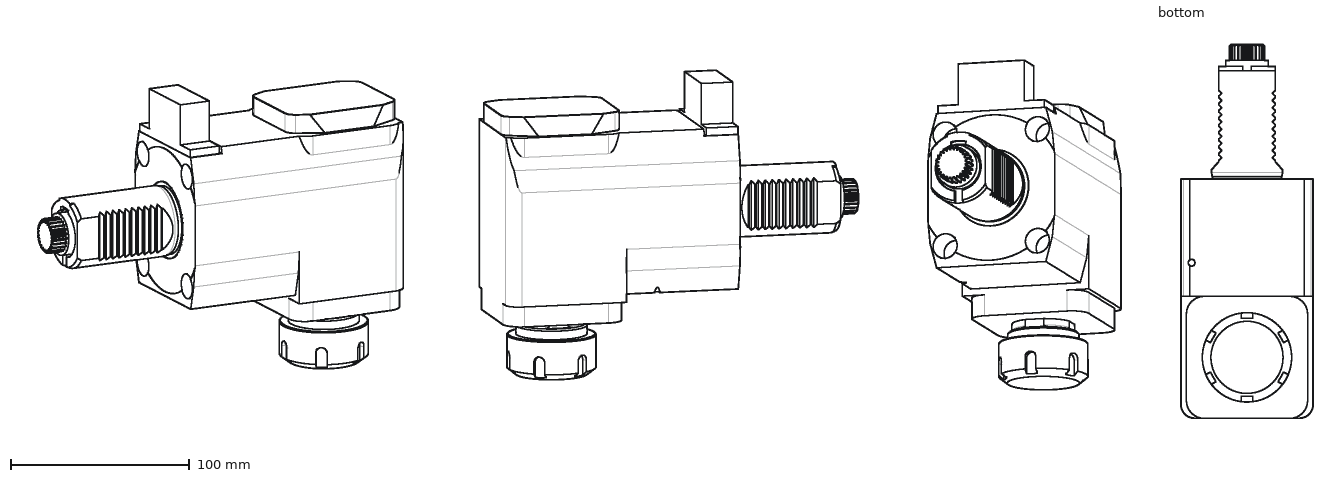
import cadquery as cq
import math


HALF_WIDTH = 37.0
BACK_Y = 133.8
TOP_Z = 47.7
FLANGE_HALF_HEIGHT = 43.9
UPRIGHT_HALF_HEIGHT = 17.3
BEND_Z = 29.9
BEND_HALF_WIDTH = 35.7
TOP_HALF_WIDTH = 31.0
LEAN = (BEND_HALF_WIDTH - TOP_HALF_WIDTH) / (TOP_Z - BEND_Z)
FLANGE_EDGE_HALF_WIDTH = BEND_HALF_WIDTH - LEAN * (FLANGE_HALF_HEIGHT - BEND_Z)

HEAD_WIDTH = 67.7
HEAD_LENGTH = 68.1
HEAD_CORNER_R = 9.8
SPINDLE_Y = BACK_Y - HEAD_LENGTH / 2
HEAD_FRONT_Y = BACK_Y - HEAD_LENGTH
HEAD_SHOULDER_Z = -47.7
HEAD_BOTTOM_Z = -59.5
BACK_EDGE_R = 7.7

COVER_HEIGHT = 10.9
COVER_HALF_WIDTH = 31.5
COVER_TOP_HALF_WIDTH = 28.0
COVER_SIDE_HALF_LENGTH = 15.3
COVER_END_HALF_WIDTH = 23.0
COVER_CORNER_R = 6.3
COVER_EDGE = 0.2

FACE_RELIEF_D = 82.8
FACE_RELIEF_DEPTH = 0.2
NECK_GROOVE_D = 43.5
NECK_GROOVE_DEPTH = 0.8
BOLT_HOLE_D = 14.0
BOLT_X = 27.0
BOLT_Z = 31.8
BOLT_HOLE_DEPTH = 21.0

EDGE_HOLE_D = 3.8
EDGE_HOLE_X = -31.0
EDGE_HOLE_Y = 46.8
EDGE_HOLE_DEPTH = 10.5

SHANK_D = 40.0
SHANK_LENGTH = 63.0
NECK_D = 38.7
NECK_END = 1.3
LEAD_START_D = 39.3
LEAD_START = 1.9
LEAD_END = 3.8
TIP_CHAMFER = 1.0
TIP_CHAMFER_LENGTH = 2.5
TIP_KEY_HALF_WIDTH = 6.5
TIP_BORE_D = 26.8
TIP_BORE_DEPTH = 2.5
TIP_NOTCH_D = 30.3
TIP_NOTCH_WIDTH = 8.8
TIP_NOTCH_DEPTH = 1.5
TIP_SLOT_WIDTH = 4.5

FLAT_X = 15.9
RAMP_START = 5.0
RAMP_END = 9.6
GROOVE_COUNT = 10
GROOVE_DEPTH = 1.7
GROOVE_HALF_WIDTH = 1.7
FIRST_GROOVE = 12.0
LAST_GROOVE = 47.9
GROOVE_PITCH = (LAST_GROOVE - FIRST_GROOVE) / (GROOVE_COUNT - 1)

JOURNAL_D = 23.8
JOURNAL_END = 66.3
SHAFT_END = 75.2
SPLINE_D = 19.6
SPLINE_ROOT_D = 15.9
SPLINE_TEETH = 24
SPLINE_CHAMFER = 1.0

KEY_LENGTH = 18.2
KEY_SLOT_LENGTH = 19.6
KEY_BASE_HALF_WIDTH = 31.1
KEY_BASE_TOP_Z = 48.3
KEY_WIDTH = 38.7
KEY_TOP_Z = 71.5

SPINDLE_D = 35.1
SPINDLE_COLLAR_TOP_Z = -64.4
SPINDLE_FLAT_DISTANCE = 16.7
SPINDLE_COLLAR_D = 40.0
SPINDLE_COLLAR_CHAMFER = 1.0
NUT_D = 50.0
NUT_TOP_Z = -70.2
NUT_BOTTOM_Z = -93.0
NUT_TOP_CHAMFER = 0.6
NUT_NOSE_D = 40.3
NUT_NOSE_Z = -89.2
NUT_SLOT_COUNT = 6
NUT_SLOT_WIDTH = 6.3
NUT_SLOT_DEPTH = 3.1
NUT_SLOT_TOP_Z = -79.5


def block(x0, x1, y0, y1, z0, z1):
    return cq.Workplane("XY").box(x1 - x0, y1 - y0, z1 - z0, centered=False).translate((x0, y0, z0))


def along_y(sketch, y0, y1):
    """Extrude a closed XZ outline from y0 to y1."""
    return sketch.extrude(-(y1 - y0)).translate((0, y0, 0))


def disc_y(diameter, y0, y1):
    return along_y(cq.Workplane("XZ").circle(diameter / 2), y0, y1)


def mirrored(half_outline):
    """Close an outline given on its +X side from bottom to top."""
    return half_outline + [(-x, y) for x, y in reversed(half_outline)]


def on_spindle(body):
    return body.translate((0, SPINDLE_Y, 0))


def housing_block():
    side = [
        (FLANGE_EDGE_HALF_WIDTH, -FLANGE_HALF_HEIGHT),
        (BEND_HALF_WIDTH, -BEND_Z),
        (HALF_WIDTH, -UPRIGHT_HALF_HEIGHT),
        (HALF_WIDTH, UPRIGHT_HALF_HEIGHT),
        (BEND_HALF_WIDTH, BEND_Z),
        (TOP_HALF_WIDTH, TOP_Z),
    ]
    body = along_y(cq.Workplane("XZ").polyline(mirrored(side)).close(), 0, BACK_Y)
    head = block(-HALF_WIDTH, HALF_WIDTH, HEAD_FRONT_Y, BACK_Y, HEAD_SHOULDER_Z, UPRIGHT_HALF_HEIGHT)
    envelope = block(-HALF_WIDTH, HALF_WIDTH, 0, BACK_Y, HEAD_SHOULDER_Z, TOP_Z)
    return body.union(head).intersect(envelope.edges("|Z and >Y").fillet(BACK_EDGE_R))


def head_plate():
    """Rounded rectangle that stands out below the head and at its upper sides."""
    plate = cq.Workplane("XY").rect(HEAD_WIDTH, HEAD_LENGTH).extrude(TOP_Z - HEAD_BOTTOM_Z)
    return on_spindle(plate.edges("|Z").fillet(HEAD_CORNER_R).translate((0, 0, HEAD_BOTTOM_Z)))


def cover():
    half_length = HEAD_LENGTH / 2
    side = [
        (COVER_END_HALF_WIDTH, -half_length),
        (COVER_HALF_WIDTH, -COVER_SIDE_HALF_LENGTH),
        (COVER_HALF_WIDTH, COVER_SIDE_HALF_LENGTH),
        (COVER_END_HALF_WIDTH, half_length),
    ]
    pad = cq.Workplane("XY").polyline(mirrored(side)).close().extrude(COVER_HEIGHT)
    pad = pad.edges("|Z and (>Y or <Y)").fillet(COVER_CORNER_R)
    section = mirrored([(COVER_HALF_WIDTH, 0), (COVER_TOP_HALF_WIDTH, COVER_HEIGHT)])
    wedge = along_y(cq.Workplane("XZ").polyline(section).close(), -half_length, half_length)
    pad = pad.intersect(wedge).faces("<Z or >Z").chamfer(COVER_EDGE)
    return on_spindle(pad.translate((0, 0, TOP_Z)))


def bolt_holes():
    return along_y(
        cq.Workplane("XZ").rect(2 * BOLT_X, 2 * BOLT_Z, forConstruction=True)
        .vertices().circle(BOLT_HOLE_D / 2),
        0, BOLT_HOLE_DEPTH,
    )


def edge_hole():
    hole = cq.Workplane("XY").circle(EDGE_HOLE_D / 2).extrude(EDGE_HOLE_DEPTH)
    return hole.translate((EDGE_HOLE_X, EDGE_HOLE_Y, -FLANGE_HALF_HEIGHT))


def shank_blank():
    """Turned shank with its neck and lead-in; its foot stands on the floor of the neck groove."""
    radius = SHANK_D / 2
    outline = [
        (0, NECK_GROOVE_DEPTH),
        (NECK_D / 2, NECK_GROOVE_DEPTH),
        (NECK_D / 2, -NECK_END),
        (LEAD_START_D / 2, -LEAD_START),
        (radius, -LEAD_END),
        (radius, TIP_CHAMFER_LENGTH - SHANK_LENGTH),
        (radius - TIP_CHAMFER, -SHANK_LENGTH),
        (0, -SHANK_LENGTH),
    ]
    blank = cq.Workplane("XY").polyline(outline).close().revolve(360, (0, 0, 0), (0, 1, 0))
    tip_start = TIP_CHAMFER_LENGTH - SHANK_LENGTH
    tip_key = block(-TIP_KEY_HALF_WIDTH, TIP_KEY_HALF_WIDTH, -SHANK_LENGTH, tip_start, 0, radius)
    return blank.union(tip_key.intersect(disc_y(SHANK_D, -SHANK_LENGTH, tip_start)))


def flat_cutter():
    """Material outside the serrated flat of the +X side."""
    outside = SHANK_D / 2
    outline = [(outside, -RAMP_START), (FLAT_X, -RAMP_END)]
    for i in range(GROOVE_COUNT):
        y = -FIRST_GROOVE - i * GROOVE_PITCH
        outline += [
            (FLAT_X, y + GROOVE_HALF_WIDTH),
            (FLAT_X - GROOVE_DEPTH, y),
            (FLAT_X, y - GROOVE_HALF_WIDTH),
        ]
    outline += [(FLAT_X, -SHANK_LENGTH), (outside, -SHANK_LENGTH)]
    return cq.Workplane("XY").polyline(outline).close().extrude(SHANK_D / 2, both=True)


def shank():
    cutter = flat_cutter()
    bore_floor = TIP_BORE_DEPTH - SHANK_LENGTH
    half_slot = TIP_SLOT_WIDTH / 2
    slot = block(-half_slot, half_slot, -SHANK_LENGTH, bore_floor, -SHANK_D / 2, 0)
    half_notch = TIP_NOTCH_WIDTH / 2
    notch_floor = TIP_NOTCH_DEPTH - SHANK_LENGTH
    notch = block(-half_notch, half_notch, -SHANK_LENGTH, notch_floor, 0, TIP_NOTCH_D / 2)
    notch = notch.intersect(disc_y(TIP_NOTCH_D, -SHANK_LENGTH, notch_floor))
    return (
        shank_blank().cut(cutter).cut(cutter.mirror("YZ"))
        .cut(disc_y(TIP_BORE_D, -SHANK_LENGTH, bore_floor)).cut(slot).cut(notch)
    )


def make_housing():
    key_slot = block(-HALF_WIDTH, HALF_WIDTH, 0, KEY_SLOT_LENGTH, FLANGE_HALF_HEIGHT, TOP_Z)
    return (
        housing_block().union(head_plate()).union(cover())
        .cut(key_slot)
        .cut(disc_y(FACE_RELIEF_D, 0, FACE_RELIEF_DEPTH))
        .cut(disc_y(NECK_GROOVE_D, 0, NECK_GROOVE_DEPTH))
        .cut(bolt_holes())
        .cut(edge_hole())
        .union(shank())
    )


def make_key():
    base = block(-KEY_BASE_HALF_WIDTH, KEY_BASE_HALF_WIDTH, 0, KEY_LENGTH, FLANGE_HALF_HEIGHT, KEY_BASE_TOP_Z)
    tongue = block(-KEY_WIDTH / 2, KEY_WIDTH / 2, 0, KEY_LENGTH, FLANGE_HALF_HEIGHT, KEY_TOP_Z)
    return base.union(tongue)


def spline_outline():
    """Trapezoidal teeth with equal quarters for tip, flank, root and flank."""
    pitch = 2 * math.pi / SPLINE_TEETH
    points = []
    for i in range(SPLINE_TEETH):
        middle = math.pi / 2 + i * pitch
        for radius, share in (
            (SPLINE_ROOT_D / 2, -3 / 8), (SPLINE_D / 2, -1 / 8),
            (SPLINE_D / 2, 1 / 8), (SPLINE_ROOT_D / 2, 3 / 8),
        ):
            angle = middle + share * pitch
            points.append((radius * math.cos(angle), radius * math.sin(angle)))
    return points


def make_drive_shaft():
    journal = disc_y(JOURNAL_D, -JOURNAL_END, TIP_BORE_DEPTH - SHANK_LENGTH)
    spline = along_y(cq.Workplane("XZ").polyline(spline_outline()).close(), -SHAFT_END, -JOURNAL_END)
    envelope = disc_y(SPLINE_D, -SHAFT_END, -JOURNAL_END).faces("<Y").chamfer(SPLINE_CHAMFER)
    return journal.union(spline.intersect(envelope))


def nut_slots():
    floor = NUT_D / 2 - NUT_SLOT_DEPTH
    half_length = NUT_SLOT_TOP_Z - NUT_BOTTOM_Z
    slot = (
        cq.Workplane("XZ", origin=(0, -floor, NUT_BOTTOM_Z))
        .slot2D(2 * half_length, NUT_SLOT_WIDTH, 90).extrude(2 * NUT_SLOT_DEPTH)
    )
    slots = cq.Workplane("XY")
    for i in range(NUT_SLOT_COUNT):
        slots = slots.union(slot.rotate((0, 0, 0), (0, 0, 1), i * 360 / NUT_SLOT_COUNT))
    return slots


def make_spindle():
    collar_r = SPINDLE_COLLAR_D / 2
    nut_r = NUT_D / 2
    neck_r = SPINDLE_D / 2
    shoulder_r = collar_r - SPINDLE_COLLAR_CHAMFER
    neck_fillet = shoulder_r - neck_r
    fillet_top_z = SPINDLE_COLLAR_TOP_Z + neck_fillet
    fillet_reach = neck_fillet * (1 - math.sqrt(0.5))
    body = (
        cq.Workplane("XZ")
        .moveTo(0, HEAD_BOTTOM_Z)
        .lineTo(neck_r, HEAD_BOTTOM_Z)
        .lineTo(neck_r, fillet_top_z)
        .threePointArc(
            (neck_r + fillet_reach, SPINDLE_COLLAR_TOP_Z + fillet_reach),
            (shoulder_r, SPINDLE_COLLAR_TOP_Z),
        )
        .lineTo(collar_r, SPINDLE_COLLAR_TOP_Z - SPINDLE_COLLAR_CHAMFER)
        .lineTo(collar_r, NUT_TOP_Z)
        .lineTo(nut_r - NUT_TOP_CHAMFER, NUT_TOP_Z)
        .lineTo(nut_r, NUT_TOP_Z - NUT_TOP_CHAMFER)
        .lineTo(nut_r, NUT_NOSE_Z)
        .lineTo(NUT_NOSE_D / 2, NUT_BOTTOM_Z)
        .lineTo(0, NUT_BOTTOM_Z)
        .close()
        .revolve(360, (0, 0, 0), (0, 1, 0))
    )
    neck_height = HEAD_BOTTOM_Z - SPINDLE_COLLAR_TOP_Z
    around_flats = (
        cq.Workplane("XY").workplane(offset=SPINDLE_COLLAR_TOP_Z)
        .rect(SPINDLE_COLLAR_D, SPINDLE_COLLAR_D)
        .rect(2 * SPINDLE_FLAT_DISTANCE, 2 * SPINDLE_FLAT_DISTANCE)
        .extrude(neck_height)
    )
    return on_spindle(body.cut(around_flats).cut(nut_slots()))


housing = make_housing()
key = make_key()
drive_shaft = make_drive_shaft()
spindle = make_spindle()

result = cq.Compound.makeCompound([housing.val(), key.val(), drive_shaft.val(), spindle.val()])